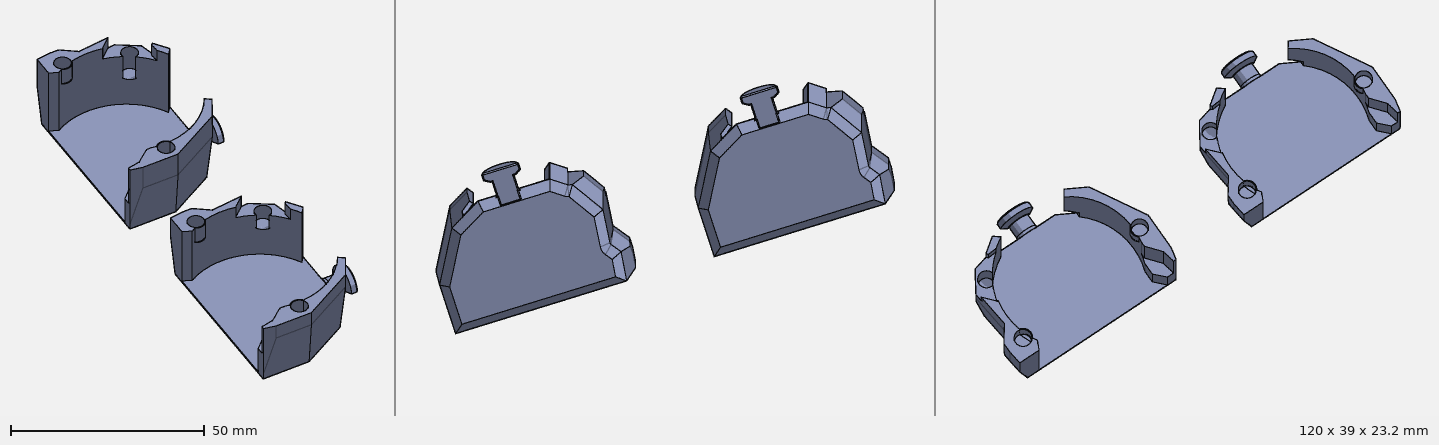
import cadquery as cq
import math

SPACING = 70.0
TALL_HEIGHT = 23.2
SHORT_HEIGHT = 20.2
FLOOR = 3.0
CHAMFER = 2.5
BACK = 31.8
REACH = 7.2
OVERCUT = 1.2

FRONT_LEFT = (-24.4, 0)
LEFT_LOW = (-24.8, 3.8)
LEFT_HIGH = (-24.8, 6.6)
WAIST = (-21.7, 10.9)
SHOULDER = (-22.9, 22.1)
SHOULDER_BACK = (-19.2, 28.0)
KINK = (-15.2, 28.9)
BACK_LEFT = (-11.3, BACK)
BACK_RIGHT = (11.2, BACK)
RIGHT_BEND = (16.8, 28.7)
RIGHT_HIGH = (25.2, 13.8)
RIGHT_LOW = (25.2, 3.4)
FRONT_RIGHT = (24.5, 0)

DRAFT_START = 16.0
WAIST_DRAFT = 3.5
RIGHT_INSET = 0.8
BACK_RIGHT_INSET = 1.5
CORNER_START = 13.8
CORNER_INSET = 2.4
SHOULDER_START = 10.9
SHOULDER_INSET = 2.0

CAVITY_RADIUS = 20.0
CAVITY_Y = 12.7
MOUTH_LEFT_Y = 2.4
MOUTH_LEFT_X = -18.4
LUG_X = 19.0
LUG_Y = 2.9
LUG_FRONT_X = 21.7
LUG_TOP = 11.0
LEFT_END_X = -9.4
RIGHT_END_X = 10.0
LEFT_END_OUTER_X = -11.0

LUG_LEDGE_CORNER = (19.7, 7.5)
LUG_LEDGE_BEND = (22.9, 3.6)
LUG_LEDGE_FRONT = (23.6, 0)

NOTCH_X = 13.2
NOTCH_LOW = 6.7
NOTCH_HIGH = 8.8

HOLE_RADIUS = 2.3
BOSS_RADIUS = 2.5
HOLE_DEPTH = 5.0
BOSS_HOLES = [(-19.9, 5.0), (21.5, 12.4)]
DEEP_HOLE = (-18.4, 24.0)
DEEP_HOLE_BOTTOM = 12.0
DRILL_POINT_ANGLE = 118

RECESS_DEPTH = 3.6
RECESS_OUTLINE = [
    (-19.8, 16.8), (-22.5, 19.9), (-27.6, 25.7), (-24.0, 31.1),
    (-15.5, 29.3), (-14.8, 28.5), (-11.4, 28.7), (-9.6, 18.0),
]

KNOB_END = 39.0
KNOB_RADIUS = 5.0
KNOB_BEVEL = 0.4
KNOB_BACK = 37.1
CONE_RADIUS = 3.5
CONE_BACK = 36.1
SHAFT_RADIUS = 3.0
ROOT_RADIUS = 2.9
UNDERSIDE_BEVEL = 0.4
COLLAR_RADIUS = 3.4
COLLAR_FRONT = 32.8


def prism(points, low, high):
    return cq.Workplane("XY").workplane(offset=low).polyline(points).close().extrude(high - low)


def cavity_y(x):
    """Y of the back half of the round cavity wall at x."""
    return CAVITY_Y + math.sqrt(CAVITY_RADIUS**2 - x**2)


def cavity_x(y):
    """Half width of the round cavity at y."""
    return math.sqrt(CAVITY_RADIUS**2 - (y - CAVITY_Y)**2)


def side_wedge(start, end, top, inset):
    """Cutter that slopes the side start-end inwards from the height top down to the chamfer."""
    along = cq.Vector(end[0] - start[0], end[1] - start[1], 0).normalized()
    inward = cq.Vector(0, 0, 1).cross(along)
    origin = cq.Vector(start[0], start[1], 0) - along * REACH
    length = math.dist(start, end) + 2 * REACH
    low = CHAMFER - OVERCUT
    low_inset = inset * (top - low) / (top - CHAMFER)
    profile = cq.Workplane(cq.Plane(origin, xDir=inward, normal=along))
    points = [(0, top), (low_inset, low), (-REACH, low), (-REACH, top)]
    return profile.polyline(points).close().extrude(length)


def waist_cutter():
    """Drafted cutter for the two sides that meet at the waist."""
    beyond_shoulder = (2 * SHOULDER[0] - WAIST[0], 2 * SHOULDER[1] - WAIST[1])
    beyond_front = (2 * LEFT_HIGH[0] - WAIST[0], 2 * LEFT_HIGH[1] - WAIST[1])
    drop = DRAFT_START - (CHAMFER - OVERCUT)
    start = cq.Workplane("XY").workplane(offset=DRAFT_START)
    corner = start.polyline([WAIST, beyond_shoulder, beyond_front]).close()
    return corner.extrude(-drop, taper=-WAIST_DRAFT)


def outer_block(height):
    """Solid outer shape with sloped lower sides and a 45 degree chamfer around the bottom."""
    outline = [
        FRONT_LEFT, FRONT_RIGHT, RIGHT_LOW, RIGHT_HIGH, RIGHT_BEND, BACK_RIGHT, BACK_LEFT,
        KINK, SHOULDER_BACK, SHOULDER, WAIST, LEFT_HIGH, LEFT_LOW,
    ]
    block = prism(outline, CHAMFER, height).cut(waist_cutter())
    slopes = [
        (LEFT_LOW, FRONT_LEFT, CORNER_START, CORNER_INSET),
        (SHOULDER_BACK, SHOULDER, SHOULDER_START, SHOULDER_INSET),
        (RIGHT_LOW, RIGHT_HIGH, DRAFT_START, RIGHT_INSET),
        (RIGHT_HIGH, RIGHT_BEND, DRAFT_START, RIGHT_INSET),
        (RIGHT_BEND, BACK_RIGHT, DRAFT_START, BACK_RIGHT_INSET),
    ]
    for slope in slopes:
        block = block.cut(side_wedge(*slope))
    chamfer_top = block.faces("<Z").wires()
    return chamfer_top.toPending().workplane().extrude(CHAMFER, taper=45)


def cavity(height):
    """Round cavity, open to the front between the wall ends and to the back."""
    left_end = (LEFT_END_X, cavity_y(LEFT_END_X))
    right_end = (RIGHT_END_X, cavity_y(RIGHT_END_X))
    lug_start = (LUG_X, CAVITY_Y - math.sqrt(CAVITY_RADIUS**2 - LUG_X**2))
    mouth_left = (-cavity_x(MOUTH_LEFT_Y), MOUTH_LEFT_Y)
    depth = height - FLOOR
    room = (
        cq.Workplane("XY").workplane(offset=FLOOR)
        .moveTo(MOUTH_LEFT_X, 0).lineTo(*mouth_left)
        .threePointArc((-CAVITY_RADIUS, CAVITY_Y), left_end)
        .lineTo(*right_end)
        .threePointArc((CAVITY_RADIUS, CAVITY_Y), lug_start)
        .lineTo(LUG_X, LUG_Y).lineTo(LUG_FRONT_X, 0).close().extrude(depth)
    )
    opening = prism(
        [left_end, (LEFT_END_OUTER_X, BACK), (LEFT_END_OUTER_X, BACK + REACH),
         (BACK_RIGHT[0], BACK + REACH), BACK_RIGHT, right_end],
        FLOOR, height,
    )
    corner_x = LUG_LEDGE_CORNER[0]
    wall_y = CAVITY_Y - math.sqrt(CAVITY_RADIUS**2 - corner_x**2)
    above_lug = prism(
        [(corner_x, wall_y), LUG_LEDGE_CORNER, LUG_LEDGE_BEND, LUG_LEDGE_FRONT, (0, 0), (0, wall_y)],
        LUG_TOP, height,
    )
    return room.union(opening).union(above_lug)


def notch():
    """Cutter that clears the space under the end of the right wall."""
    return (
        cq.Workplane("XZ", origin=(0, CAVITY_Y, 0))
        .polyline([(0, FLOOR), (NOTCH_X, FLOOR), (NOTCH_X, NOTCH_LOW),
                   (RIGHT_END_X, NOTCH_HIGH), (0, NOTCH_HIGH)])
        .close().extrude(-(BACK + REACH - CAVITY_Y))
    )


def recess(height):
    """Step in the left rim around the deep hole."""
    return prism(RECESS_OUTLINE, height - RECESS_DEPTH, height)


def deep_hole(height):
    """Round hole with a drill point, opening into the recess."""
    tip = HOLE_RADIUS / math.tan(math.radians(DRILL_POINT_ANGLE / 2))
    profile = [
        (0, DEEP_HOLE_BOTTOM - tip), (HOLE_RADIUS, DEEP_HOLE_BOTTOM),
        (HOLE_RADIUS, height), (0, height),
    ]
    hole = cq.Workplane("XZ").polyline(profile).close().revolve(360, (0, 0), (0, 1))
    return hole.translate((*DEEP_HOLE, 0))


def knob():
    """Half-round knob with a beveled flat underside and a root that fills the back chamfer."""
    root = BACK - CHAMFER
    profile = [
        (0, root), (ROOT_RADIUS, root), (ROOT_RADIUS, BACK),
        (COLLAR_RADIUS, BACK), (SHAFT_RADIUS, COLLAR_FRONT),
        (SHAFT_RADIUS, CONE_BACK), (CONE_RADIUS, CONE_BACK), (KNOB_RADIUS, KNOB_BACK),
        (KNOB_RADIUS, KNOB_END - KNOB_BEVEL), (KNOB_RADIUS - KNOB_BEVEL, KNOB_END), (0, KNOB_END),
    ]
    turned = cq.Workplane("XY").polyline(profile).close().revolve(180, (0, 0), (0, -1))
    return turned.faces("<Z").chamfer(UNDERSIDE_BEVEL)


def make_housing(height):
    """One housing as a single solid with its bottom on Z = 0."""
    housing = outer_block(height).cut(cavity(height)).cut(notch())
    rim = cq.Workplane("XY").workplane(offset=height - HOLE_DEPTH).pushPoints(BOSS_HOLES)
    housing = housing.union(rim.circle(BOSS_RADIUS).extrude(HOLE_DEPTH))
    housing = housing.cut(rim.circle(HOLE_RADIUS).extrude(HOLE_DEPTH))
    housing = housing.cut(recess(height)).cut(deep_hole(height))
    return housing.union(knob())


tall_housing = make_housing(TALL_HEIGHT)
short_housing = make_housing(SHORT_HEIGHT).translate((SPACING, 0, TALL_HEIGHT - SHORT_HEIGHT))
result = cq.Compound.makeCompound([tall_housing.solids().val(), short_housing.solids().val()])